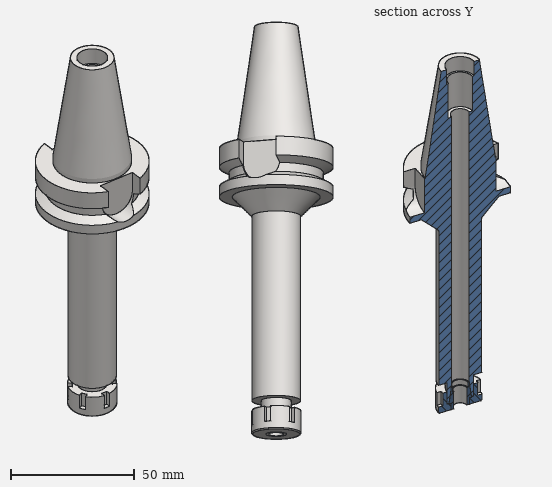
import cadquery as cq
import math

TOTAL_LENGTH = 168.4

TAPER_RATIO = 7 / 24
GAUGE_RADIUS = 31.8 / 2
TAPER_LENGTH = 48.5
COLLAR_LENGTH = 1.9
GAUGE_Z = TOTAL_LENGTH - TAPER_LENGTH
TAPER_END_RADIUS = GAUGE_RADIUS - TAPER_LENGTH * TAPER_RATIO / 2

FLANGE_RADIUS = 46.0 / 2
FLANGE_TOP_Z = GAUGE_Z - COLLAR_LENGTH
FLANGE_THICKNESS = 20.0
FLANGE_BOTTOM_Z = FLANGE_TOP_Z - FLANGE_THICKNESS
UPPER_RIM_HEIGHT = 7.7
LOWER_RIM_HEIGHT = 4.2
GROOVE_RADIUS = 19.0
GROOVE_FLANK_HEIGHT = 2.2
UPPER_RIM_Z = FLANGE_TOP_Z - UPPER_RIM_HEIGHT
LOWER_RIM_Z = FLANGE_BOTTOM_Z + LOWER_RIM_HEIGHT

DRIVE_SLOT_WIDTH = 16.0
DRIVE_SLOT_DEPTH = 16.8
DRIVE_SLOT_FACE_X = 16.3

SHANK_RADIUS = 19.7 / 2
SHANK_CONE_HEIGHT = 7.9
SHANK_CONE_TOP_RADIUS = SHANK_RADIUS + SHANK_CONE_HEIGHT
SHANK_TOP_Z = FLANGE_BOTTOM_Z - SHANK_CONE_HEIGHT
SHANK_BOTTOM_Z = 13.8
NECK_RADIUS = 6.0

PILOT_RADIUS = 6.2
PILOT_DEPTH = 7.0
THREAD_RADIUS = 10.8 / 2
THREAD_DEPTH = 24.0
COOLANT_RADIUS = 7.9 / 2

NUT_RADIUS = 20.0 / 2
NUT_HEIGHT = 9.6
NUT_CHAMFER = 0.5
NUT_LIP_THICKNESS = 3.4
NUT_SLOT_COUNT = 6
NUT_SLOT_WIDTH = 2.5
NUT_SLOT_LENGTH = 6.2
NUT_SLOT_FLOOR_RADIUS = 8.0

COLLET_BORE_RADIUS = 5.9 / 2
COLLET_RELIEF_RADIUS = 6.9 / 2
COLLET_RELIEF_DEPTH = 2.5
COLLET_NOSE_RADIUS = 4.2
COLLET_BASE_RADIUS = 5.0
COLLET_HALF_ANGLE = 8
COLLET_TOP_RADIUS = COOLANT_RADIUS
COLLET_TAPER_LENGTH = (COLLET_BASE_RADIUS - COLLET_TOP_RADIUS) / math.tan(math.radians(COLLET_HALF_ANGLE))
COLLET_TOP_Z = NUT_LIP_THICKNESS + COLLET_TAPER_LENGTH


def turned(profile):
    """Solid of revolution about Z from (radius, z) points."""
    return cq.Workplane("YZ").polyline(profile).close().revolve(360, (0, 0, 0), (0, 1, 0))


def drive_slot(side):
    """Cutter for one drive slot; side is -1 or +1 along X."""
    radius = DRIVE_SLOT_WIDTH / 2
    arc_center_z = FLANGE_TOP_Z - DRIVE_SLOT_DEPTH + radius
    return (
        cq.Workplane("YZ", origin=(side * DRIVE_SLOT_FACE_X, 0, 0))
        .moveTo(-radius, FLANGE_TOP_Z)
        .lineTo(-radius, arc_center_z)
        .threePointArc((0, arc_center_z - radius), (radius, arc_center_z))
        .lineTo(radius, FLANGE_TOP_Z)
        .close()
        .extrude(side * FLANGE_RADIUS)
    )


def make_holder():
    """Taper, flange, shank and neck with the stepped bore and the collet seat."""
    pilot_floor_z = TOTAL_LENGTH - PILOT_DEPTH
    thread_floor_z = TOTAL_LENGTH - THREAD_DEPTH
    holder = turned([
        (TAPER_END_RADIUS, TOTAL_LENGTH),
        (GAUGE_RADIUS, GAUGE_Z),
        (GAUGE_RADIUS, FLANGE_TOP_Z),
        (FLANGE_RADIUS, FLANGE_TOP_Z),
        (FLANGE_RADIUS, UPPER_RIM_Z),
        (GROOVE_RADIUS, UPPER_RIM_Z - GROOVE_FLANK_HEIGHT),
        (GROOVE_RADIUS, LOWER_RIM_Z + GROOVE_FLANK_HEIGHT),
        (FLANGE_RADIUS, LOWER_RIM_Z),
        (FLANGE_RADIUS, FLANGE_BOTTOM_Z),
        (SHANK_CONE_TOP_RADIUS, FLANGE_BOTTOM_Z),
        (SHANK_RADIUS, SHANK_TOP_Z),
        (SHANK_RADIUS, SHANK_BOTTOM_Z),
        (NECK_RADIUS, SHANK_BOTTOM_Z),
        (NECK_RADIUS, NUT_LIP_THICKNESS),
        (COLLET_BASE_RADIUS, NUT_LIP_THICKNESS),
        (COLLET_TOP_RADIUS, COLLET_TOP_Z),
        (COOLANT_RADIUS, thread_floor_z),
        (THREAD_RADIUS, thread_floor_z),
        (THREAD_RADIUS, pilot_floor_z),
        (PILOT_RADIUS, pilot_floor_z),
        (PILOT_RADIUS, TOTAL_LENGTH),
    ])
    for side in (-1, 1):
        holder = holder.cut(drive_slot(side))
    return holder


def nut_slot(angle):
    """Cutter for one wrench slot, open at the rim and at the top of the nut."""
    radial_length = NUT_RADIUS
    return (
        cq.Workplane("XY", origin=(0, 0, NUT_HEIGHT - NUT_SLOT_LENGTH))
        .center(NUT_SLOT_FLOOR_RADIUS + radial_length / 2, 0)
        .rect(radial_length, NUT_SLOT_WIDTH)
        .extrude(NUT_SLOT_LENGTH)
        .rotate((0, 0, 0), (0, 0, 1), angle)
    )


def make_nut():
    """Ring that takes the neck from above and closes to a lip under the collet."""
    nut = turned([
        (COLLET_NOSE_RADIUS, 0),
        (NUT_RADIUS - NUT_CHAMFER, 0),
        (NUT_RADIUS, NUT_CHAMFER),
        (NUT_RADIUS, NUT_HEIGHT),
        (NECK_RADIUS, NUT_HEIGHT),
        (NECK_RADIUS, NUT_LIP_THICKNESS),
        (COLLET_NOSE_RADIUS, NUT_LIP_THICKNESS),
    ])
    for index in range(NUT_SLOT_COUNT):
        nut = nut.cut(nut_slot(index * 360 / NUT_SLOT_COUNT))
    return nut


def make_collet():
    """Tapered sleeve with a straight nose that fills the opening of the nut."""
    return turned([
        (COLLET_BORE_RADIUS, 0),
        (COLLET_NOSE_RADIUS, 0),
        (COLLET_NOSE_RADIUS, NUT_LIP_THICKNESS),
        (COLLET_BASE_RADIUS, NUT_LIP_THICKNESS),
        (COLLET_TOP_RADIUS, COLLET_TOP_Z),
        (COLLET_RELIEF_RADIUS, COLLET_TOP_Z),
        (COLLET_RELIEF_RADIUS, COLLET_TOP_Z - COLLET_RELIEF_DEPTH),
        (COLLET_BORE_RADIUS, COLLET_TOP_Z - COLLET_RELIEF_DEPTH),
    ])


holder = make_holder()
nut = make_nut()
collet = make_collet()

result = cq.Compound.makeCompound([holder.val(), nut.val(), collet.val()])